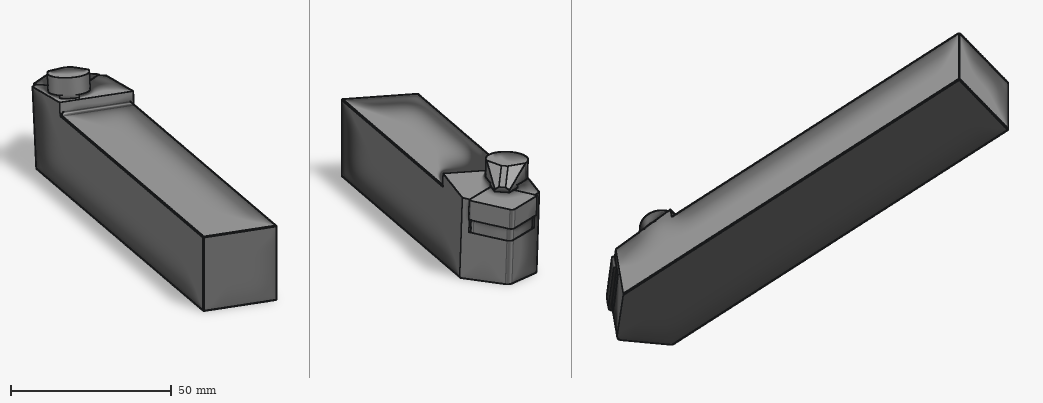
import cadquery as cq
import math

LENGTH = 149.7
SHANK = 25.0
SHANK_CHAMFER = 0.3
RAKE = 6.5
HEAD_LENGTH = 35.6
STEP_FILLET = 1.0

INSERT_SIDE = 15.9
INSERT_THICKNESS = 6.5
NOSE_RADIUS = 1.2
INSERT_CORNER_RADIUS = 0.6

HEAD_SETBACK = 0.9
HEAD_NOSE_RADIUS = 1.5
SEAT_STEP = 0.07
SEAT_THICKNESS = 4.5
SEAT_RADIUS = 1.5

CAP_RADIUS = 6.6
CLAMP_HEIGHT = 6.7
CLAMP_X = 27.0
CLAMP_Y = -5.5
CLAMP_DIRECTION = 157.5
FINGER_TAPER = 22.5
FINGER_REACH = 11.7
FINGER_TIP_HEIGHT = 1.6
RAMP_TOP = 6.3
RAMP_HALF_WIDTH = 1.0
CLAMP_GAP = 0.97
TOE_INNER = 6.7
HEEL_INNER = 5.8

CLEAR = 59.9

NOSE_LOSS = NOSE_RADIUS * (math.sqrt(2) - 1)
NOSE_SHIFT = NOSE_LOSS * math.cos(math.radians(RAKE))


def tilt(body):
    """Move from the head frame (sharp nose at the origin, top at z = 0) to the tool frame."""
    return body.rotate((0, 0, 0), (0, 1, 0), -RAKE).translate((-NOSE_SHIFT, 0, SHANK))


def diamond(side, back_x, top, thickness):
    """Square plate with one corner on the X axis at back_x, reaching down from top."""
    centre_x = back_x - side / math.sqrt(2)
    plate = cq.Workplane("XY").rect(side, side).extrude(-thickness)
    return plate.rotate((0, 0, 0), (0, 0, 1), 45).translate((centre_x, 0, top))


BACK_CORNER = INSERT_SIDE * math.sqrt(2)
SEAT_SIDE = INSERT_SIDE - HEAD_SETBACK - SEAT_STEP
HEAD_NOSE = HEAD_SETBACK * math.sqrt(2)


def make_insert():
    plate = diamond(INSERT_SIDE, BACK_CORNER, 0, INSERT_THICKNESS)
    plate = plate.edges("|Z and <X").fillet(NOSE_RADIUS)
    other_corners = plate.edges("|Z and (>X or >Y or <Y)")
    return tilt(other_corners.fillet(INSERT_CORNER_RADIUS))


def make_seat():
    plate = diamond(SEAT_SIDE, BACK_CORNER, -INSERT_THICKNESS, SEAT_THICKNESS)
    return tilt(plate.edges("|Z and (not >X)").fillet(SEAT_RADIUS))


def make_head():
    half = SHANK / 2
    outline = [
        (HEAD_NOSE, 0),
        (HEAD_NOSE + half, half),
        (HEAD_LENGTH, half),
        (HEAD_LENGTH, -half),
        (HEAD_NOSE + half, -half),
    ]
    head = cq.Workplane("XY").polyline(outline).close().extrude(-CLEAR)
    head = head.edges("|Z and <X").fillet(HEAD_NOSE_RADIUS)
    above_base = cq.Workplane("XY").box(LENGTH, SHANK, CLEAR, centered=(False, True, False))
    above_base = above_base.edges("|X and <Z").chamfer(SHANK_CHAMFER)
    return tilt(head).intersect(above_base)


def make_pocket():
    """Space for the insert and the seat plate, open to the front and top."""
    return tilt(diamond(INSERT_SIDE, BACK_CORNER, 0, INSERT_THICKNESS + SEAT_THICKNESS))


def make_shank():
    """Bar whose front end lies inside the head."""
    start = HEAD_LENGTH / 2
    shank = cq.Workplane("XY").box(LENGTH - start, SHANK, SHANK, centered=(False, True, False))
    shank = shank.translate((start, 0, 0))
    return shank.edges("|X or >X").chamfer(SHANK_CHAMFER)


def fillet_step(holder):
    """Round the inner corner between the shank top and the back of the head."""
    margin = 0.1
    corner = cq.selectors.BoxSelector(
        (HEAD_LENGTH - 1.5, -SHANK, SHANK - margin),
        (HEAD_LENGTH + 1.5, SHANK, SHANK + margin),
    )
    return holder.edges(corner).edges("|Y").fillet(STEP_FILLET)


def cutter_above(corners):
    """Prism that removes all material on the upper side of the plane through three points."""
    a, b, c = [cq.Vector(*corner) for corner in corners]
    normal = (b - a).cross(c - a)
    if normal.z < 0:
        normal = normal * -1
    plane = cq.Plane(origin=a, xDir=b - a, normal=normal)
    return cq.Workplane(plane).rect(CLEAR, CLEAR).extrude(CLEAR)


def make_clamp():
    """Cap centred on the origin with its finger along +X, then turned into place."""
    taper = math.radians(FINGER_TAPER)
    tangent_x = CAP_RADIUS * math.sin(taper)
    tangent_y = CAP_RADIUS * math.cos(taper)
    tip_y = tangent_y - (FINGER_REACH - tangent_x) * math.tan(taper)
    clamp = (
        cq.Workplane("XY")
        .moveTo(tangent_x, tangent_y)
        .threePointArc((-CAP_RADIUS, 0), (tangent_x, -tangent_y))
        .lineTo(FINGER_REACH, -tip_y)
        .lineTo(FINGER_REACH, tip_y)
        .close()
        .extrude(CLAMP_HEIGHT)
    )
    ramp = [
        (RAMP_TOP, -RAMP_HALF_WIDTH, CLAMP_HEIGHT),
        (RAMP_TOP, RAMP_HALF_WIDTH, CLAMP_HEIGHT),
        (FINGER_REACH, 0, FINGER_TIP_HEIGHT),
    ]
    clamp = clamp.cut(cutter_above(ramp))
    for side in (-1, 1):
        facet = [
            (RAMP_TOP, side * RAMP_HALF_WIDTH, CLAMP_HEIGHT),
            (tangent_x, side * tangent_y, CLAMP_HEIGHT),
            (FINGER_REACH, side * RAMP_HALF_WIDTH, FINGER_TIP_HEIGHT),
        ]
        clamp = clamp.cut(cutter_above(facet))
    relief = cq.Workplane("XY").box(
        TOE_INNER + HEEL_INNER, CLEAR, CLAMP_GAP, centered=(False, True, False)
    )
    clamp = clamp.cut(relief.translate((-HEEL_INNER, 0, 0)))
    clamp = clamp.rotate((0, 0, 0), (0, 0, 1), CLAMP_DIRECTION)
    return tilt(clamp.translate((CLAMP_X, CLAMP_Y, 0)))


def make_holder():
    """Shank, head, seat plate and clamp as one solid."""
    holder = fillet_step(make_head().union(make_shank()))
    holder = holder.cut(make_pocket())
    return holder.union(make_seat()).union(make_clamp())


holder = make_holder()
insert = make_insert()
result = cq.Compound.makeCompound([holder.solids().val(), insert.solids().val()])